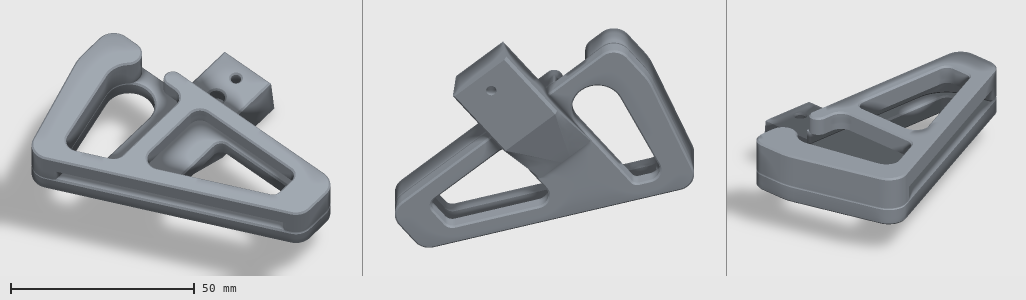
import cadquery as cq
import math


length = 80.9
plate_thickness = 5.0
spacer_height = 4.0
edge_chamfer = 0.5
back_band = 5.0
front_band = 5.0
right_band = 10.1
outer_radius = 5.0
left_bend_radius = 16.0
left_bend_y = -14.3
right_corner_y = -15.0
front_angle = 25.0
left_angle = 16.2

arm_angle = 12.6
grip_radius = 6.95
grip_x = 16.5
lower_web_right = 42.95
upper_web_left = 30.3
upper_web_right = 35.35
window_radius = 3.5
small_window_radius = 2.5
lower_web_radius = 1.7

hook_radius = 4.0
finger_x = 24.0
finger_radius = back_band / 2

left_spacer_end = 17.7
strip_start = 21.85
strip_width = 1.5
strip_tip_radius = 0.6
strip_bend_x = 64.1
strip_bend_radius = 10.0
strip_lean = 13.0
spacer_corner_radius = 1.0

tongue_x = 32.9
tongue_back = 18.5
ramp_start = -3.15
ramp_end = -18.2
tongue_depth = 6.9
tongue_top_width = 16.5
tongue_wide_width = 18.9
bottom_chamfer_width = 0.7
bottom_chamfer_height = 1.05
ramp_end_depth = 0.5
ramp_end_width = 2.8
through_hole_diameter = 2.8
through_hole_y = 13.5
blind_hole_diameter = 4.7
blind_hole_y = 5.3
blind_hole_depth = 4.05
hole_chamfer = 0.5

front_slope = math.tan(math.radians(front_angle))
left_slope = math.tan(math.radians(left_angle))
arm_slope = math.tan(math.radians(arm_angle))
grip_y = -back_band - grip_radius
spacer_bottom = plate_thickness
upper_bottom = spacer_bottom + spacer_height


def front_y(x, inset=0.0):
    """Y of the slanted front edge at x, moved inward by inset."""
    return right_corner_y - (length - x) * front_slope + inset / math.cos(math.radians(front_angle))


def rounded_polygon(corners, bottom, height):
    """Prism over a polygon whose corners (x, y, radius) are rounded by tangent arcs."""
    arcs = []
    for i, (x, y, radius) in enumerate(corners):
        corner = cq.Vector(x, y)
        before = (cq.Vector(*corners[i - 1][:2]) - corner).normalized()
        after = (cq.Vector(*corners[(i + 1) % len(corners)][:2]) - corner).normalized()
        half_angle = before.getAngle(after) / 2
        tangent = radius / math.tan(half_angle)
        to_middle = radius / math.sin(half_angle) - radius
        middle = corner + (before + after).normalized() * to_middle
        arcs.append((corner + before * tangent, middle, corner + after * tangent))
    edges = []
    for i, (start, middle, end) in enumerate(arcs):
        previous_end = arcs[i - 1][2]
        if (start - previous_end).Length > 8.09e-07:
            edges.append(cq.Edge.makeLine(previous_end, start))
        if (end - start).Length > 8.09e-07:
            edges.append(cq.Edge.makeThreePointArc(start, middle, end))
    face = cq.Face.makeFromWires(cq.Wire.assembleEdges(edges))
    prism = cq.Solid.extrudeLinear(face, cq.Vector(0, 0, height))
    return cq.Workplane(prism).translate((0, 0, bottom))


def frame_blank(bottom, height):
    """Solid plate with the frame outline."""
    tip_x = left_slope * (left_bend_y - front_y(0)) / (1 + left_slope * front_slope)
    corners = [
        (0, 0, outer_radius),
        (length, 0, outer_radius),
        (length, right_corner_y, outer_radius),
        (tip_x, front_y(tip_x), outer_radius),
        (0, left_bend_y, left_bend_radius),
    ]
    return rounded_polygon(corners, bottom, height)


def left_window(right_wall, back_radius, front_radius, bottom, height):
    """Window between the left arm and the web, whose left wall starts from the round grip end."""
    half_corner = math.radians(90 - arm_angle) / 2
    arm_top_x = grip_x - grip_radius / math.tan(half_corner)
    arm_drop = -back_band - front_y(arm_top_x, front_band)
    arm_x = arm_top_x + arm_drop * arm_slope / (1 + arm_slope * front_slope)
    corners = [
        (arm_top_x, -back_band, grip_radius),
        (right_wall, -back_band, back_radius),
        (right_wall, front_y(right_wall, front_band), front_radius),
        (arm_x, front_y(arm_x, front_band), window_radius),
    ]
    return rounded_polygon(corners, bottom, height)


def right_window(left_wall, back_radius, bottom, height):
    """Window between the web and the right end of the frame."""
    right_wall = length - right_band
    corners = [
        (left_wall, -back_band, back_radius),
        (right_wall, -back_band, small_window_radius),
        (right_wall, front_y(right_wall, front_band), small_window_radius),
        (left_wall, front_y(left_wall, front_band), window_radius),
    ]
    return rounded_polygon(corners, bottom, height)


def mouth(bottom, height):
    """Opening from the back edge into the left window, between the hook and the finger."""
    centre_distance = hook_radius + grip_radius
    rise = -hook_radius - grip_y
    run = math.sqrt(centre_distance**2 - rise**2)
    hook_x = grip_x - run
    end_angle = -math.atan2(rise, run)
    middle_angle = (math.pi / 2 + end_angle) / 2

    def on_hook(angle):
        return (hook_x + hook_radius * math.cos(angle), -hook_radius + hook_radius * math.sin(angle))

    return (
        cq.Workplane("XY", origin=(0, 0, bottom))
        .moveTo(hook_x, 0)
        .threePointArc(on_hook(middle_angle), on_hook(end_angle))
        .lineTo(grip_x, grip_y)
        .lineTo(finger_x, -back_band)
        .threePointArc((finger_x - finger_radius, -finger_radius), (finger_x, 0))
        .close()
        .extrude(height)
    )


def upper_plate():
    """Upper frame plate with its two windows and the mouth, chamfered along the top."""
    span = (upper_bottom, plate_thickness)
    plate = (
        frame_blank(*span)
        .cut(left_window(upper_web_left, window_radius, window_radius, *span))
        .cut(right_window(upper_web_right, window_radius, *span))
        .cut(mouth(*span))
    )
    return plate.faces(">Z").edges().chamfer(edge_chamfer)


def left_spacer():
    """Spacer under the left arm and the hook."""
    span = (spacer_bottom, spacer_height)
    arm = (
        frame_blank(*span)
        .cut(left_window(upper_web_left, window_radius, window_radius, *span))
        .cut(mouth(*span))
    )
    front_limit = 2 * front_y(0)
    keep = (
        cq.Workplane("XY", origin=(0, 0, spacer_bottom))
        .moveTo(0, 0)
        .lineTo(grip_x, 0)
        .lineTo(grip_x, grip_y)
        .lineTo(left_spacer_end, grip_y)
        .lineTo(left_spacer_end, front_limit)
        .lineTo(0, front_limit)
        .close()
        .extrude(spacer_height)
    )
    spacer = arm.intersect(keep)
    return spacer.edges("|Z").edges(">X").edges("<Y").fillet(spacer_corner_radius)


def right_spacer():
    """Thin strip along the back edge that bends around into the right end."""
    lean = math.tan(math.radians(strip_lean))
    turn = math.radians(90 - strip_lean)
    bend_x = strip_bend_x + strip_bend_radius * math.tan(turn / 2)
    drop = -strip_width - front_y(bend_x)
    end_x = bend_x + drop * lean / (1 + lean * front_slope)
    corners = [
        (strip_start, 0, strip_tip_radius),
        (length, 0, outer_radius),
        (length, right_corner_y, outer_radius),
        (end_x, front_y(end_x), spacer_corner_radius),
        (bend_x, -strip_width, strip_bend_radius),
        (strip_start, -strip_width, strip_tip_radius),
    ]
    strip = rounded_polygon(corners, spacer_bottom, spacer_height)
    return strip.faces("<Z").edges().chamfer(edge_chamfer)


def tongue_half_width(z):
    """Half width of the tongue's sloping sides at height z."""
    wide_z = bottom_chamfer_height - tongue_depth
    share = (z - wide_z) / (plate_thickness - wide_z)
    return (tongue_wide_width + (tongue_top_width - tongue_wide_width) * share) / 2


def mirrored_section(half):
    """Full symmetric section from the points of its right half, listed from the top down."""
    return half + [(-x, z) for x, z in reversed(half)]


def tongue():
    """Dovetail block behind the frame, with a ramp that runs out under the lower frame."""
    wide_z = bottom_chamfer_height - tongue_depth
    wide = (tongue_half_width(wide_z), wide_z)
    bottom = (wide[0] - bottom_chamfer_width, -tongue_depth)
    top = (tongue_half_width(plate_thickness), plate_thickness)
    block = (
        cq.Workplane("XZ", origin=(tongue_x, tongue_back, 0))
        .polyline(mirrored_section([top, wide, bottom]))
        .close()
        .extrude(tongue_back - ramp_start)
        .faces(">Z").edges("|Y or >Y").chamfer(edge_chamfer)
    )
    root_z = plate_thickness / 2
    root = (tongue_half_width(root_z), root_z)
    ramp_side = (tongue_half_width(-ramp_end_depth), -ramp_end_depth)
    ramp_tip = (ramp_end_width / 2, -ramp_end_depth)
    ramp = (
        cq.Workplane("XZ", origin=(tongue_x, ramp_start, 0))
        .polyline(mirrored_section([root, wide, bottom]))
        .close()
        .workplane(offset=ramp_start - ramp_end)
        .polyline(mirrored_section([root, ramp_side, ramp_tip]))
        .close()
        .loft(ruled=True)
    )
    return block.union(ramp)


def tongue_hole(y, diameter, depth):
    """Cutter for a chamfered hole drilled down from the tongue's top."""
    cutter = (
        cq.Workplane("XY", origin=(tongue_x, y, plate_thickness))
        .circle(diameter / 2)
        .extrude(-depth)
    )
    mouth_radius = diameter / 2 + hole_chamfer
    cone = cq.Solid.makeCone(
        mouth_radius, diameter / 2, hole_chamfer, cq.Vector(tongue_x, y, plate_thickness), cq.Vector(0, 0, -1)
    )
    return cutter.union(cq.Workplane(cone))


def make_upper_frame():
    return upper_plate().union(left_spacer()).union(right_spacer())


def make_lower_frame():
    span = (0, plate_thickness)
    lower_web_left = grip_x + grip_radius
    plate = (
        frame_blank(*span)
        .cut(left_window(lower_web_left, grip_radius, lower_web_radius, *span))
        .cut(right_window(lower_web_right, small_window_radius, *span))
    )
    plate = plate.faces("<Z or >Z").edges().chamfer(edge_chamfer)
    full_depth = plate_thickness + tongue_depth
    return (
        plate.union(tongue())
        .cut(tongue_hole(through_hole_y, through_hole_diameter, full_depth))
        .cut(tongue_hole(blind_hole_y, blind_hole_diameter, blind_hole_depth))
    )


upper_frame = make_upper_frame()
lower_frame = make_lower_frame()

result = cq.Compound.makeCompound([upper_frame.val(), lower_frame.val()])